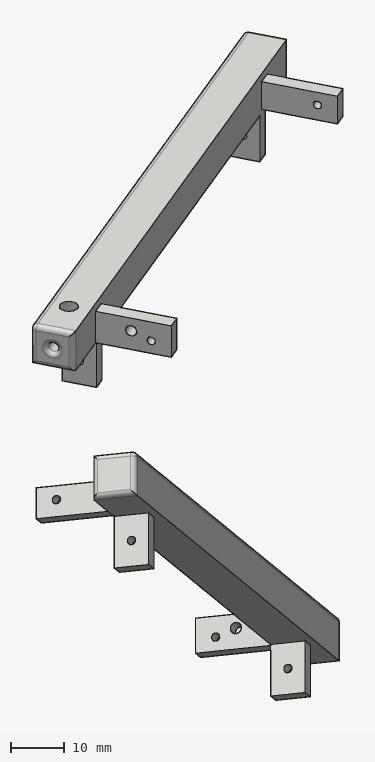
import cadquery as cq
import math

length = 113.5
bar_size = 8.5
total_width = 23.5
total_height = 18.5
edge_radius = 1.0

tab_thickness = 3.0
tab_width = 6.8
back_arm_height = 6.0
front_arm_y = 11.5
back_arm_y = 99.5
leg_end_gap = 12.0

leg_hole_diameter = 1.6
leg_hole_height = 5.0
arm_hole_diameter = 1.6
arm_hole_tip_gap = 4.0
arm_hole_offset = 0.7
locating_hole_diameter = 2.2
locating_hole_tip_gap = 8.0

cross_hole_y = 8.7
cross_hole_diameter = 1.8
cross_bore_diameter = 3.5
cross_bore_depth = 3.4

end_hole_diameter = 2.0
end_hole_depth = 6.8
mouth_radius = 0.9

bar_bottom = total_height - bar_size
bar_center_x = bar_size / 2
bar_center_z = bar_bottom + bar_size / 2
arm_top = bar_bottom + tab_width
arm_center_z = bar_bottom + tab_width / 2
leg_center_x = bar_size - tab_width / 2


def box(x, y, z, width, depth, height):
    """Box given by its minimum corner and its sizes."""
    return cq.Workplane("XY").box(width, depth, height, centered=False).translate((x, y, z))


def hole_along_y(x, z, y, diameter):
    """Cylinder that cuts through one tab starting at y."""
    circle = cq.Workplane("XZ", origin=(x, y, z)).circle(diameter / 2)
    return circle.extrude(-tab_thickness)


def rounded_bar():
    """Bar with its upper left edge and both end outlines rounded."""
    bar = box(0, 0, bar_bottom, bar_size, length, bar_size)
    bar = bar.edges("|Y and <X and >Z").fillet(edge_radius)
    return bar.faces("<Y or >Y").edges().fillet(edge_radius)


def arm(y, height, hole_offset):
    """Sideways tab with one screw hole above or below its middle."""
    plate = box(bar_size, y, arm_top - height, total_width - bar_size, tab_thickness, height)
    hole_x = total_width - arm_hole_tip_gap
    return plate.cut(hole_along_y(hole_x, arm_center_z + hole_offset, y, arm_hole_diameter))


def leg(y):
    """Downward tab with one screw hole on its middle."""
    plate = box(bar_size - tab_width, y, 0, tab_width, tab_thickness, bar_bottom)
    return plate.cut(hole_along_y(leg_center_x, leg_hole_height, y, leg_hole_diameter))


def cross_hole():
    """Through hole with a wider bore at the top."""
    top = cq.Workplane("XY", origin=(bar_center_x, cross_hole_y, total_height))
    through = top.circle(cross_hole_diameter / 2).extrude(-bar_size)
    bore = top.circle(cross_bore_diameter / 2).extrude(-cross_bore_depth)
    return through.union(bore)


def end_hole():
    """Blind hole along Y whose mouth flares out to the front face as a quarter round."""
    hole_radius = end_hole_diameter / 2
    mouth_edge = hole_radius + mouth_radius
    arc_middle = (
        mouth_edge - mouth_radius * math.sqrt(0.5),
        mouth_radius * (1 - math.sqrt(0.5)),
    )
    profile = (
        cq.Workplane("XY")
        .lineTo(mouth_edge, 0)
        .threePointArc(arc_middle, (hole_radius, mouth_radius))
        .lineTo(hole_radius, end_hole_depth)
        .lineTo(0, end_hole_depth)
        .close()
    )
    return profile.revolve(360, (0, 0), (0, 1)).translate((bar_center_x, 0, bar_center_z))


front_leg_y = leg_end_gap
back_leg_y = length - leg_end_gap - tab_thickness

front_arm = arm(front_arm_y, tab_width, -arm_hole_offset).cut(
    hole_along_y(
        total_width - locating_hole_tip_gap,
        arm_center_z + arm_hole_offset,
        front_arm_y,
        locating_hole_diameter,
    )
)

result = rounded_bar().cut(cross_hole()).cut(end_hole())
for tab in (front_arm, arm(back_arm_y, back_arm_height, arm_hole_offset), leg(front_leg_y), leg(back_leg_y)):
    result = result.union(tab)